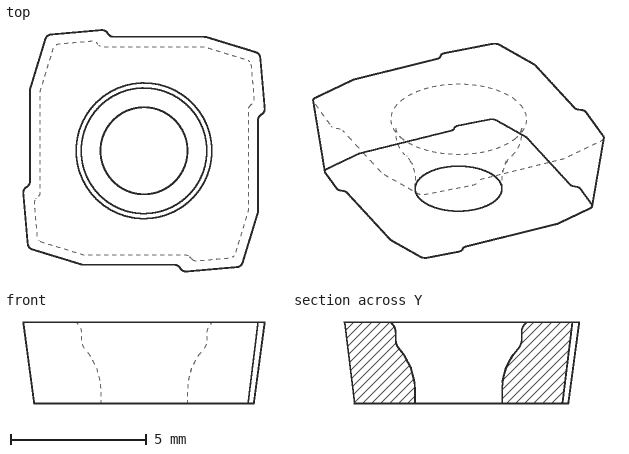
import math

import cadquery as cq

THICKNESS = 3.0
OVERALL_WIDTH = 8.9
RELIEF_ANGLE = 7.0
SIDE_COUNT = 4
JOIN_TOLERANCE = 1e-6

FLAT_DISTANCE = 4.2
FLAT_END = 2.27
FACET_ANGLE = 17.0
EAR_ANGLE = 5.0
EAR_CENTRE_X = 1.55
EDGE_RADIUS = 0.25

RIM_RADIUS = 2.5
RIM_CONE_HALF_ANGLE = 40.0
RIM_BLEND_RADIUS = 0.4
NECK_RADIUS = 2.315
NECK_BLEND_RADIUS = 0.5
SEAT_RADIUS = 2.25
BORE_RADIUS = 1.6
BORE_HEIGHT = 0.5


def unit(angle):
    """Unit vector at an angle in degrees."""
    return (math.cos(math.radians(angle)), math.sin(math.radians(angle)))


def dot(a, b):
    return a[0] * b[0] + a[1] * b[1]


def on_circle(centre, radius, angle):
    direction = unit(angle)
    return (centre[0] + radius * direction[0], centre[1] + radius * direction[1])


def line_crossing(angle_a, distance_a, angle_b, distance_b):
    """Crossing of two lines, each given by its normal angle and distance from the axis."""
    ax, ay = unit(angle_a)
    bx, by = unit(angle_b)
    det = ax * by - ay * bx
    return ((distance_a * by - distance_b * ay) / det, (ax * distance_b - bx * distance_a) / det)


def arc_points(centre, start_angle, end_angle):
    """Start, middle and end of an outline rounding."""
    middle_angle = (start_angle + end_angle) / 2
    return [on_circle(centre, EDGE_RADIUS, a) for a in (start_angle, middle_angle, end_angle)]


def quarter_arcs(inset):
    """Roundings of one side, in order, with every edge moved inwards by the inset."""
    flat_normal = -90.0
    ear_normal = flat_normal + EAR_ANGLE
    facet_normal = -FACET_ANGLE
    next_flat_normal = 0.0

    top_ear_centre = (EAR_CENTRE_X, EDGE_RADIUS - OVERALL_WIDTH / 2)
    ear_reach = dot(top_ear_centre, unit(ear_normal)) - inset
    facet_reach = dot((FLAT_DISTANCE, -FLAT_END), unit(facet_normal)) - inset - EDGE_RADIUS
    flat_reach = FLAT_DISTANCE - inset - EDGE_RADIUS

    ear_x = EAR_CENTRE_X + inset
    ear_centre = line_crossing(ear_normal, ear_reach, next_flat_normal, ear_x)
    root_y = -(FLAT_DISTANCE - inset) - EDGE_RADIUS
    rise = ear_centre[1] - root_y
    step_angle = math.degrees(math.asin(rise / (2 * EDGE_RADIUS)))
    root_x = ear_x - 2 * EDGE_RADIUS * unit(step_angle)[0]

    corner_centre = line_crossing(ear_normal, ear_reach, facet_normal, facet_reach)
    facet_centre = line_crossing(facet_normal, facet_reach, next_flat_normal, flat_reach)
    return [
        arc_points((root_x, root_y), 90.0, step_angle),
        arc_points(ear_centre, step_angle - 180.0, ear_normal),
        arc_points(corner_centre, ear_normal, facet_normal),
        arc_points(facet_centre, facet_normal, next_flat_normal),
    ]


def rotated(point, angle):
    c, s = unit(angle)
    return (point[0] * c - point[1] * s, point[0] * s + point[1] * c)


def outline(inset, z):
    """Closed outline wire at height z."""
    arcs = []
    for side in range(SIDE_COUNT):
        turn = side * 360.0 / SIDE_COUNT
        for arc in quarter_arcs(inset):
            arcs.append([cq.Vector(*rotated(point, turn), z) for point in arc])

    edges = []
    for index, (start, middle, end) in enumerate(arcs):
        edges.append(cq.Edge.makeThreePointArc(start, middle, end))
        next_start = arcs[(index + 1) % len(arcs)][0]
        if (next_start - end).Length > JOIN_TOLERANCE:
            edges.append(cq.Edge.makeLine(end, next_start))
    return cq.Wire.assembleEdges(edges)


def make_body():
    bottom_inset = THICKNESS * math.tan(math.radians(RELIEF_ANGLE))
    wires = [outline(bottom_inset, -THICKNESS), outline(0.0, 0.0)]
    return cq.Workplane(cq.Solid.makeLoft(wires, True))


def make_screw_hole():
    """Revolved cutter; profile points are (radius, z)."""
    seat_drop = SEAT_RADIUS + NECK_BLEND_RADIUS
    seat_angle = math.degrees(math.acos(1 - (NECK_RADIUS - BORE_RADIUS) / seat_drop))

    bore_top = BORE_HEIGHT - THICKNESS
    seat_centre = (BORE_RADIUS + SEAT_RADIUS, bore_top)
    seat_middle = on_circle(seat_centre, SEAT_RADIUS, 180 - seat_angle / 2)
    seat_top = on_circle(seat_centre, SEAT_RADIUS, 180 - seat_angle)

    neck_bottom = bore_top + seat_drop * unit(seat_angle)[1]
    neck_centre = (NECK_RADIUS - NECK_BLEND_RADIUS, neck_bottom)
    neck_blend_middle = on_circle(neck_centre, NECK_BLEND_RADIUS, -seat_angle / 2)

    cone_slope = math.tan(math.radians(RIM_CONE_HALF_ANGLE))
    blend_cos, blend_sin = unit(RIM_CONE_HALF_ANGLE)
    blend_top_radius = NECK_RADIUS + RIM_BLEND_RADIUS * (1 - blend_cos)
    blend_top = -(RIM_RADIUS - blend_top_radius) / cone_slope
    neck_top = blend_top - RIM_BLEND_RADIUS * blend_sin
    rim_centre = (NECK_RADIUS + RIM_BLEND_RADIUS, neck_top)
    rim_blend_middle = on_circle(rim_centre, RIM_BLEND_RADIUS, 180 - RIM_CONE_HALF_ANGLE / 2)

    return (
        cq.Workplane("XZ")
        .moveTo(0, -THICKNESS)
        .lineTo(BORE_RADIUS, -THICKNESS)
        .lineTo(BORE_RADIUS, bore_top)
        .threePointArc(seat_middle, seat_top)
        .threePointArc(neck_blend_middle, (NECK_RADIUS, neck_bottom))
        .lineTo(NECK_RADIUS, neck_top)
        .threePointArc(rim_blend_middle, (blend_top_radius, blend_top))
        .lineTo(RIM_RADIUS, 0)
        .lineTo(0, 0)
        .close()
        .revolve(360, (0, 0, 0), (0, 1, 0))
    )


result = make_body().cut(make_screw_hole())